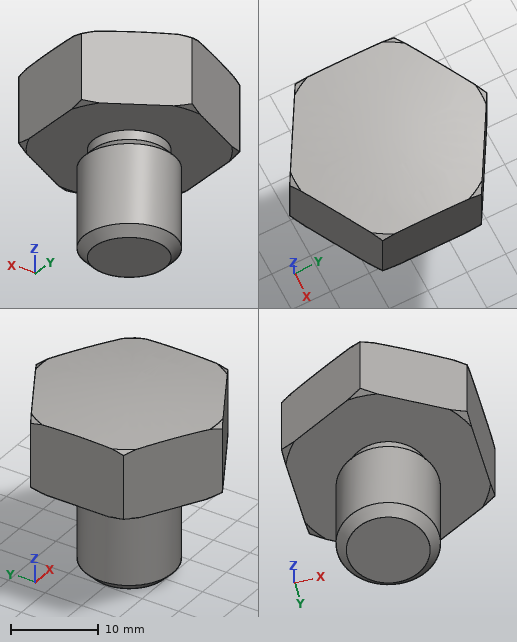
import cadquery as cq
import math

corner_width = 25.4
head_height = 10.05
dome_drop = 0.7
dome_rim_radius = 12.0
underside_radius = 11.8
top_chamfer_angle = 27.0
bottom_chamfer_angle = 22.0

shank_length = 14.0
shank_radius = 6.0
neck_radius = 4.8
neck_length = 1.22
cone_height = shank_radius - neck_radius

corner_radius = corner_width / 2


def chamfer_drop(start_radius, angle):
    """Height lost by a conical chamfer between start_radius and the hexagon corners."""
    return (corner_radius - start_radius) * math.tan(math.radians(angle))


def make_head():
    """Hexagonal prism trimmed by a domed, chamfered body of revolution; underside at Z = 0."""
    hexagon = (
        cq.Workplane("XY")
        .polygon(6, corner_width)
        .extrude(head_height)
        .rotate((0, 0, 0), (0, 0, 1), 30)
    )
    rim_height = head_height - dome_drop
    dome_radius = (dome_rim_radius**2 + dome_drop**2) / (2 * dome_drop)
    middle_radius = dome_rim_radius / 2
    middle_height = head_height - dome_radius + math.sqrt(dome_radius**2 - middle_radius**2)
    envelope = (
        cq.Workplane("XZ")
        .lineTo(underside_radius, 0)
        .lineTo(corner_radius, chamfer_drop(underside_radius, bottom_chamfer_angle))
        .lineTo(corner_radius, rim_height - chamfer_drop(dome_rim_radius, top_chamfer_angle))
        .lineTo(dome_rim_radius, rim_height)
        .threePointArc((middle_radius, middle_height), (0, head_height))
        .close()
        .revolve(360, (0, 0, 0), (0, 1, 0))
    )
    return hexagon.intersect(envelope)


def make_shank():
    """Shank below Z = 0 with a relief neck and a chamfered tip."""
    return (
        cq.Workplane("XZ")
        .lineTo(neck_radius, 0)
        .lineTo(neck_radius, -neck_length)
        .lineTo(shank_radius, -(neck_length + cone_height))
        .lineTo(shank_radius, -shank_length + cone_height)
        .lineTo(neck_radius, -shank_length)
        .lineTo(0, -shank_length)
        .close()
        .revolve(360, (0, 0, 0), (0, 1, 0))
    )


result = make_head().union(make_shank())